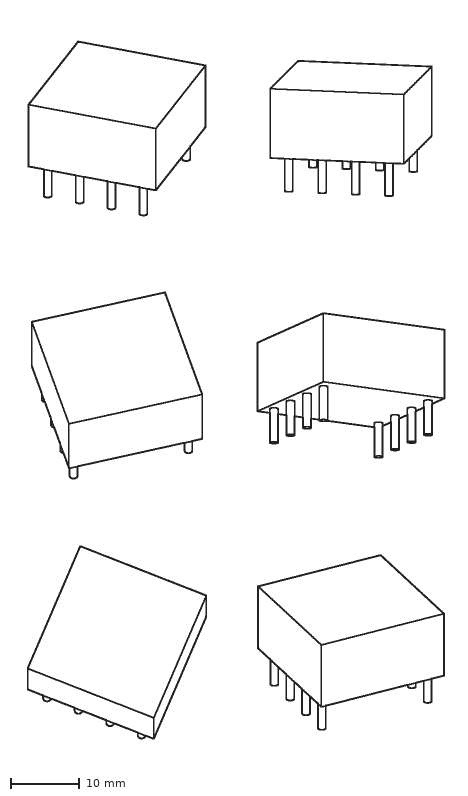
import cadquery as cq

housing_width = 20.0
housing_depth = 20.3
total_height = 15.5
pin_length = 5.12
housing_height = total_height - pin_length

pin_diameter = 1.2
pins_per_row = 4
pin_pitch = housing_width / pins_per_row
row_spacing = 17.5


def make_housing():
    """Plain block whose underside lies at Z = 0."""
    return cq.Workplane("XY").box(
        housing_width, housing_depth, housing_height, centered=(True, True, False)
    )


def make_pin(x, y):
    """Straight pin hanging from the underside of the housing."""
    return cq.Workplane("XY").center(x, y).circle(pin_diameter / 2).extrude(-pin_length)


housing = make_housing()

pins = []
for row_y in (-row_spacing / 2, row_spacing / 2):
    for index in range(pins_per_row):
        pin_x = (index - (pins_per_row - 1) / 2) * pin_pitch
        pins.append(make_pin(pin_x, row_y))

result = cq.Compound.makeCompound([housing.val(), *[pin.val() for pin in pins]])